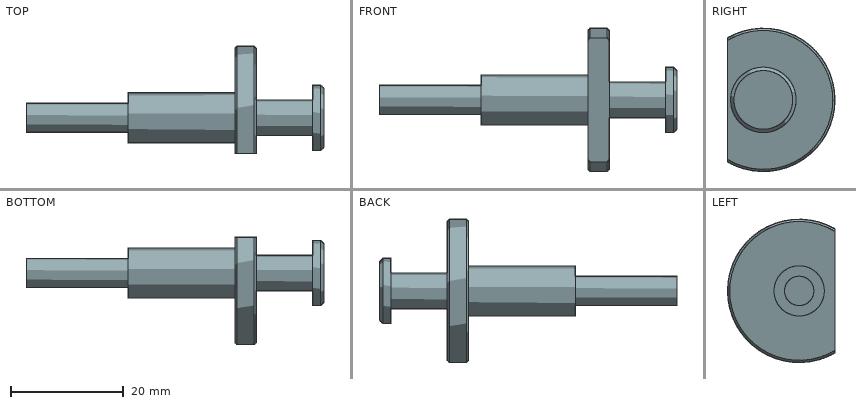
import cadquery as cq

ROD_LENGTH = 18.0
BARREL_LENGTH = 18.9
FLANGE_THICKNESS = 3.8
NECK_LENGTH = 10.0
HEAD_THICKNESS = 2.0

ROD_DIAMETER = 5.2
BARREL_DIAMETER = 8.9
FLANGE_DIAMETER = 25.4
NECK_DIAMETER = 6.35
HEAD_DIAMETER = 11.6

FLAT_OFFSET = FLANGE_DIAMETER / 4
FLANGE_CHAMFER = 0.4
HEAD_CHAMFER = 0.6

BARREL_START = ROD_LENGTH
FLANGE_START = BARREL_START + BARREL_LENGTH
NECK_START = FLANGE_START + FLANGE_THICKNESS
HEAD_START = NECK_START + NECK_LENGTH


def cylinder(start, length, diameter):
    """Cylinder on the X axis, running from start towards +X."""
    return cq.Workplane("YZ", origin=(start, 0, 0)).circle(diameter / 2).extrude(length)


def make_flange():
    """Disc with both rims chamfered, then cut by a flat that keeps sharp edges."""
    disc = cylinder(FLANGE_START, FLANGE_THICKNESS, FLANGE_DIAMETER)
    disc = disc.faces("<X or >X").chamfer(FLANGE_CHAMFER)
    beyond_flat = cq.Workplane("XY").box(
        FLANGE_THICKNESS,
        FLANGE_DIAMETER,
        FLANGE_DIAMETER,
        centered=(False, False, True),
    )
    return disc.cut(beyond_flat.translate((FLANGE_START, -FLAT_OFFSET - FLANGE_DIAMETER, 0)))


def make_head():
    """Small end disc with its outer rim chamfered."""
    head = cylinder(HEAD_START, HEAD_THICKNESS, HEAD_DIAMETER)
    return head.faces(">X").chamfer(HEAD_CHAMFER)


rod = cylinder(0, ROD_LENGTH, ROD_DIAMETER)
barrel = cylinder(BARREL_START, BARREL_LENGTH, BARREL_DIAMETER)
neck = cylinder(NECK_START, NECK_LENGTH, NECK_DIAMETER)

result = rod.union(barrel).union(make_flange()).union(neck).union(make_head())